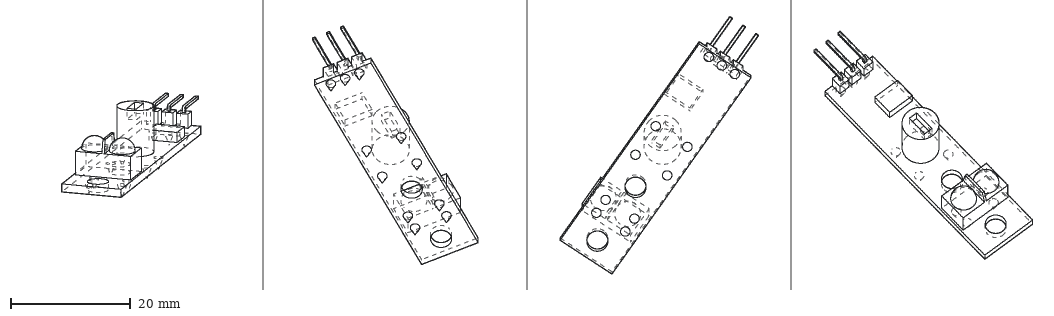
import cadquery as cq

board_width = 10.5
board_length = 41.35
board_thickness = 1.4
mount_hole_diameter = 3.52
mount_hole_ys = (3.4, 14.7)

sensor_width = 9.78
sensor_length = 5.55
sensor_height = 4.1
sensor_y = 8.8
dome_radius = 2.15
dome_x = 2.45
fin_thickness = 0.4
fin_height = 2.35
fin_end_inset = 0.55

trimmer_diameter = 6.2
trimmer_height = 8.0
trimmer_y = 22.8
slot_width = 1.6
slot_length = 3.95
slot_depth = 1.9

chip_width = 5.0
chip_length = 3.85
chip_height = 1.75
chip_x = 2.25
chip_y = 32.45

overall_length = 47.0
pin_spacing = 2.65
pin_size = 0.5
pin_top_height = 3.52
header_size = 1.97
header_height = 2.45
header_y = board_length - header_size / 2
header_xs = (-pin_spacing, 0, pin_spacing)

solder_radius = 0.8
solder_height = 2.0
sensor_solder_x = 2.9
sensor_solder_ys = (7.4, 10.1)
trimmer_solder_x = 3.2
trimmer_solder_ys = (19.4, 25.45)

overlap = 0.25


def block_on_board(width, length, height, x, y):
    """Rectangular block standing on the board, centred at (x, y)."""
    block = cq.Workplane("XY").box(width, length, height + overlap, centered=(True, True, False))
    return block.translate((x, y, board_thickness - overlap))


def make_board():
    board = cq.Workplane("XY").box(
        board_width, board_length, board_thickness, centered=(True, False, False)
    )
    for y in mount_hole_ys:
        hole = cq.Workplane("XY").center(0, y).circle(mount_hole_diameter / 2).extrude(board_thickness)
        board = board.cut(hole)
    return board


def make_sensor():
    top_z = board_thickness + sensor_height
    sensor = block_on_board(sensor_width, sensor_length, sensor_height, 0, sensor_y)
    for x in (-dome_x, dome_x):
        ball = cq.Workplane("XY").sphere(dome_radius).translate((x, sensor_y, top_z))
        upper_half = cq.Workplane("XY").box(
            2 * dome_radius, 2 * dome_radius, dome_radius + overlap, centered=(True, True, False)
        ).translate((x, sensor_y, top_z - overlap))
        sensor = sensor.union(ball.intersect(upper_half))
    half_base = sensor_length / 2
    half_top = half_base - fin_end_inset
    fin = (
        cq.Workplane("YZ")
        .center(sensor_y, top_z)
        .moveTo(-half_base, -overlap)
        .lineTo(half_base, -overlap)
        .lineTo(half_base, 0)
        .lineTo(half_top, fin_height)
        .lineTo(-half_top, fin_height)
        .lineTo(-half_base, 0)
        .close()
        .extrude(fin_thickness / 2, both=True)
    )
    return sensor.union(fin)


def make_trimmer():
    top_z = board_thickness + trimmer_height
    body = (
        cq.Workplane("XY")
        .circle(trimmer_diameter / 2)
        .extrude(trimmer_height + overlap)
        .translate((0, trimmer_y, board_thickness - overlap))
    )
    slot = cq.Workplane("XY").rect(slot_width, slot_length).extrude(-slot_depth)
    return body.cut(slot.translate((0, trimmer_y, top_z)))


def make_pin(x):
    """Square right-angle pin whose bend is a quarter round about the inner corner."""
    front_y = header_y - pin_size / 2
    inner_y = header_y + pin_size / 2
    base_z = board_thickness + header_height - overlap
    top_z = board_thickness + pin_top_height
    inner_z = top_z - pin_size
    return (
        cq.Workplane("YZ")
        .moveTo(front_y, base_z)
        .lineTo(front_y, inner_z)
        .radiusArc((inner_y, top_z), pin_size)
        .lineTo(overall_length, top_z)
        .lineTo(overall_length, inner_z)
        .lineTo(inner_y, inner_z)
        .lineTo(inner_y, base_z)
        .close()
        .extrude(pin_size / 2, both=True)
        .translate((x, 0, 0))
    )


def make_solder_point(x, y):
    """Cone with its base on the board's underside and its tip pointing down."""
    cone = cq.Solid.makeCone(
        solder_radius, 0, solder_height, pnt=cq.Vector(x, y, 0), dir=cq.Vector(0, 0, -1)
    )
    return cq.Workplane(obj=cone)


result = make_board().union(make_sensor()).union(make_trimmer())
result = result.union(block_on_board(chip_width, chip_length, chip_height, chip_x, chip_y))

for header_x in header_xs:
    result = result.union(block_on_board(header_size, header_size, header_height, header_x, header_y))
    result = result.union(make_pin(header_x))

solder_places = [(x, header_y) for x in header_xs]
solder_places += [(side * sensor_solder_x, y) for side in (-1, 1) for y in sensor_solder_ys]
solder_places += [(side * trimmer_solder_x, y) for side in (-1, 1) for y in trimmer_solder_ys]
for solder_x, solder_y in solder_places:
    result = result.union(make_solder_point(solder_x, solder_y))